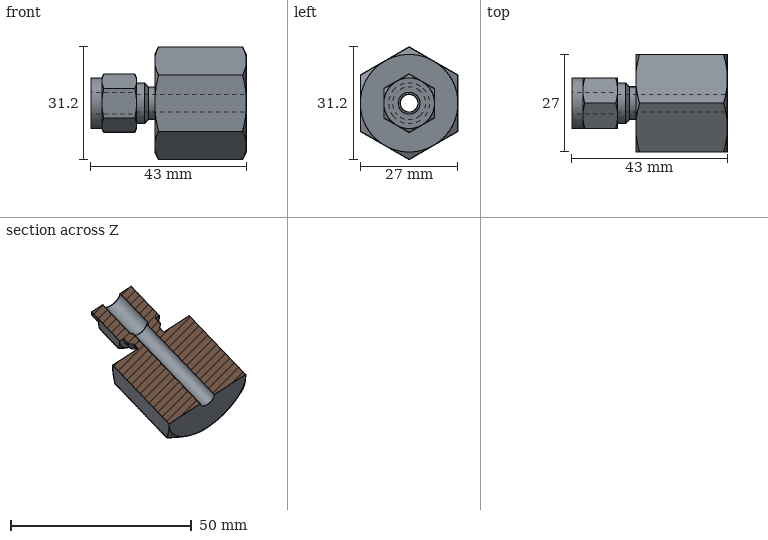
import cadquery as cq
import math


COLLAR_END = 3.05
NUT_END = 12.65
SHOULDER_END = 14.85
TAPER_END = 15.9
BODY_START = 17.67
TOTAL_LENGTH = 43.0

NUT_FLATS = 14.0
BODY_FLATS = 27.0
COLLAR_DIAMETER = NUT_FLATS
SHOULDER_DIAMETER = 11.3
NECK_DIAMETER = 9.1

HEX_SIDES = 6
CORNER_STEP = 2 * math.pi / HEX_SIDES

NUT_CHAMFER_LENGTH = 0.5
BODY_CHAMFER_LENGTH = 1.05

TUBE_SOCKET_DIAMETER = 6.0
TUBE_SOCKET_DEPTH = NUT_END
BORE_DIAMETER = 4.85


def cylinder(diameter, start, end):
    """Round bar along X between two stations."""
    return cq.Workplane("YZ", origin=(start, 0, 0)).circle(diameter / 2).extrude(end - start)


def chamfered_hexagon(flats, start, end, chamfer_length):
    """Hexagonal bar along X with corners up and down and conically chamfered ends."""
    inner_radius = flats / 2
    corner_radius = inner_radius / math.cos(CORNER_STEP / 2)
    corners = [
        (
            corner_radius * math.sin(CORNER_STEP * i),
            corner_radius * math.cos(CORNER_STEP * i),
        )
        for i in range(HEX_SIDES)
    ]
    prism = cq.Workplane("YZ", origin=(start, 0, 0)).polyline(corners).close().extrude(end - start)

    envelope = (
        cq.Workplane("XY")
        .moveTo(start, 0)
        .lineTo(start, inner_radius)
        .lineTo(start + chamfer_length, corner_radius)
        .lineTo(end - chamfer_length, corner_radius)
        .lineTo(end, inner_radius)
        .lineTo(end, 0)
        .close()
        .revolve(360, (0, 0, 0), (1, 0, 0))
    )
    return prism.intersect(envelope)


def neck():
    """Round shoulder that tapers down to the neck in front of the body."""
    return (
        cq.Workplane("XY")
        .moveTo(NUT_END, 0)
        .lineTo(NUT_END, SHOULDER_DIAMETER / 2)
        .lineTo(SHOULDER_END, SHOULDER_DIAMETER / 2)
        .lineTo(TAPER_END, NECK_DIAMETER / 2)
        .lineTo(BODY_START, NECK_DIAMETER / 2)
        .lineTo(BODY_START, 0)
        .close()
        .revolve(360, (0, 0, 0), (1, 0, 0))
    )


collar = cylinder(COLLAR_DIAMETER, 0, COLLAR_END)
nut = chamfered_hexagon(NUT_FLATS, COLLAR_END, NUT_END, NUT_CHAMFER_LENGTH)
body = chamfered_hexagon(BODY_FLATS, BODY_START, TOTAL_LENGTH, BODY_CHAMFER_LENGTH)
tube_socket = cylinder(TUBE_SOCKET_DIAMETER, 0, TUBE_SOCKET_DEPTH)
bore = cylinder(BORE_DIAMETER, 0, TOTAL_LENGTH)

result = collar.union(nut).union(neck()).union(body).cut(tube_socket).cut(bore)